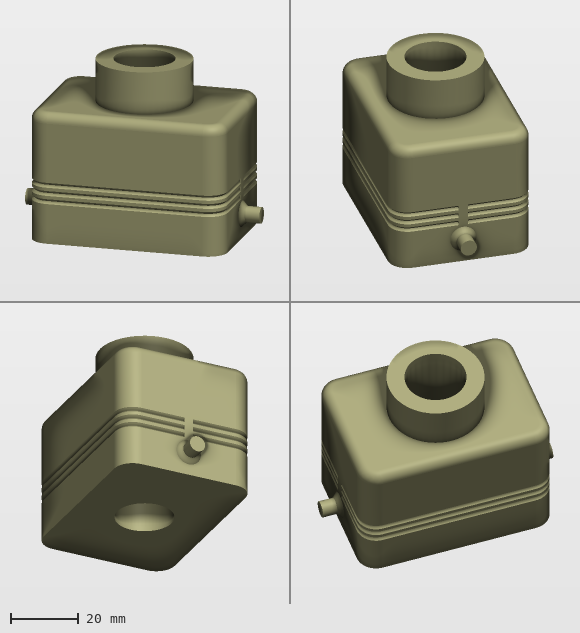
import cadquery as cq

overall_length = 72.0
overall_height = 53.0

body_length = 60.0
body_width = 43.0
body_height = 40.0
corner_radius = 6.0
top_fillet = corner_radius / 2

collar_diameter = 29.0
mouth_diameter = 18.35
bore_diameter = 17.8
taper_depth = 16.0

groove_count = 3
groove_width = 1.5
groove_pitch = 2.5
groove_angle = 45
lowest_groove_z = 12.25
groove_gap = 2.8

pin_z = 7.5
pin_diameter = 5.0
pin_root_diameter = 8.0
pin_root_length = (pin_root_diameter - pin_diameter) / 2
pin_embed = 0.7


def body_outline(z):
    """Rounded rectangle of the body at height z."""
    outline = cq.Sketch().rect(body_length, body_width).vertices().fillet(corner_radius)
    return cq.Workplane("XY", origin=(0, 0, z)).placeSketch(outline)


def make_body():
    return body_outline(0).extrude(body_height).faces(">Z").edges().fillet(top_fillet)


def make_collar():
    """Solid collar standing on the top face of the body."""
    collar_height = overall_height - body_height
    return cq.Workplane("XY", origin=(0, 0, body_height)).circle(collar_diameter / 2).extrude(collar_height)


def make_bore():
    """Through bore with a slightly wider, tapered mouth."""
    bore_radius = bore_diameter / 2
    return (
        cq.Workplane("XZ")
        .moveTo(0, 0)
        .lineTo(bore_radius, 0)
        .lineTo(bore_radius, overall_height - taper_depth)
        .lineTo(mouth_diameter / 2, overall_height)
        .lineTo(0, overall_height)
        .close()
        .revolve(360, (0, 0), (0, 1))
    )


def make_groove(z):
    """V-shaped ring removed from the body, with its lower edge at height z."""
    half_width = groove_width / 2
    slab = body_outline(z).extrude(groove_width)
    lower_core = body_outline(z).extrude(half_width, taper=groove_angle)
    upper_core = lower_core.mirror("XY", (0, 0, z + half_width))
    bridge = cq.Workplane("XY", origin=(0, 0, z)).rect(body_length, groove_gap).extrude(groove_width)
    return slab.cut(lower_core).cut(upper_core).cut(bridge)


def make_pin():
    """Pin on the +X side, running from just inside the body wall to the end of the part."""
    pin_radius = pin_diameter / 2
    root_radius = pin_root_diameter / 2
    side_x = body_length / 2
    inner_x = side_x - pin_embed
    return (
        cq.Workplane("XY")
        .moveTo(inner_x, 0)
        .lineTo(inner_x, root_radius)
        .lineTo(side_x, root_radius)
        .lineTo(side_x + pin_root_length, pin_radius)
        .lineTo(overall_length / 2, pin_radius)
        .lineTo(overall_length / 2, 0)
        .close()
        .revolve(360, (0, 0), (1, 0))
        .translate((0, 0, pin_z))
    )


result = make_body().union(make_collar()).cut(make_bore())

for index in range(groove_count):
    result = result.cut(make_groove(lowest_groove_z + index * groove_pitch))

right_pin = make_pin()
result = result.union(right_pin).union(right_pin.mirror("YZ"))